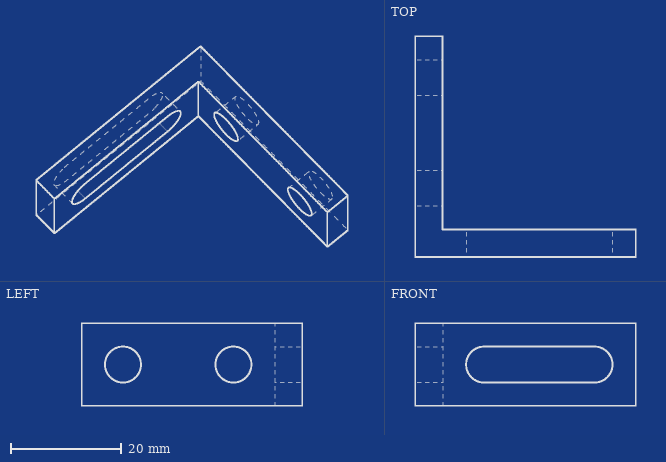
import cadquery as cq

leg_length = 40.0
height = 15.0
thickness = 5.0
hole_diameter = 6.5
hole_spacing = 20.0

end_margin = height / 2
outer_center = leg_length - end_margin
inner_center = outer_center - hole_spacing
middle_center = (outer_center + inner_center) / 2


def make_angle():
    """L-shaped body with its outer corner at the origin."""
    x_leg = cq.Workplane("XY").box(leg_length, thickness, height, centered=False)
    y_leg = cq.Workplane("XY").box(thickness, leg_length, height, centered=False)
    return x_leg.union(y_leg)


def make_slot():
    """Cutter for the rounded slot through the leg along X."""
    return (
        cq.Workplane("XZ")
        .center(middle_center, height / 2)
        .slot2D(hole_spacing + hole_diameter, hole_diameter)
        .extrude(-thickness)
    )


def make_holes():
    """Cutter for the two round holes through the leg along Y."""
    return (
        cq.Workplane("YZ")
        .pushPoints([(y, height / 2) for y in (inner_center, outer_center)])
        .circle(hole_diameter / 2)
        .extrude(thickness)
    )


result = make_angle().cut(make_slot()).cut(make_holes())